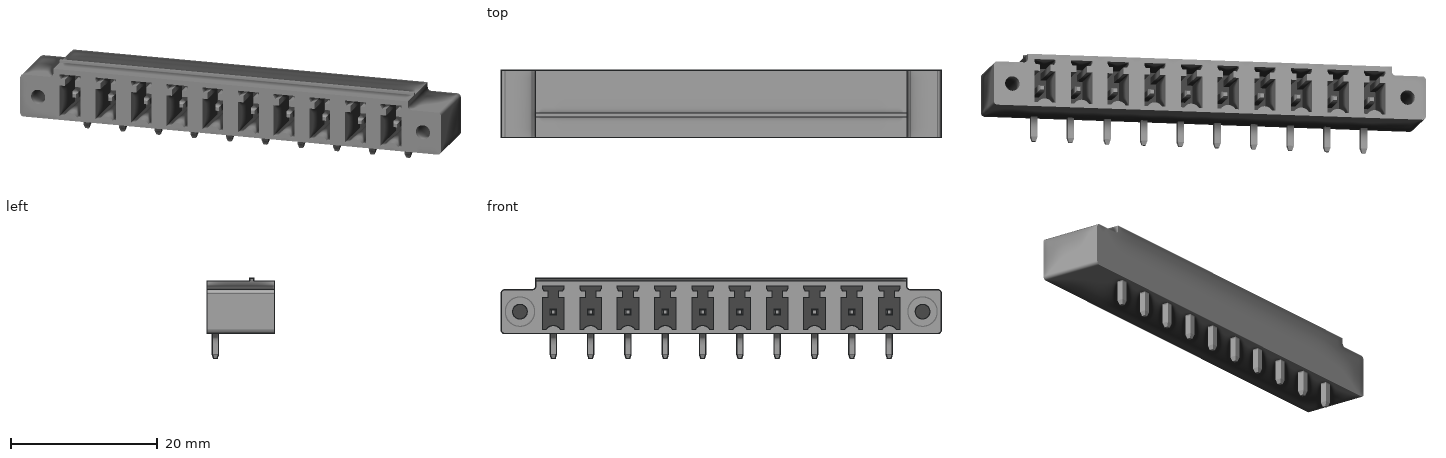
import cadquery as cq

pole_count = 10
pole_pitch = 5.08
overall_length = 59.92
depth = 9.2
overall_height = 10.95

body_height = 7.2
body_length = 50.5
flange_height = 6.0
edge_radius = 0.5

rail_front = 2.8
rail_width = 0.6
rail_height = 0.35

cavity_depth = 7.0
cavity_width = 2.95
cavity_floor = 0.55
cavity_shoulder = 4.9
neck_width = 1.45
slot_floor = 5.8
slot_floor_width = 2.55
cavity_top = 6.5
slot_side_height = 0.3
floor_rib_width = 2.0
floor_rib_height = 0.55

wire = 0.88
wire_tip = 0.5
taper_length = 0.6
contact_recess = 2.0
contact_height = 2.95
pin_setback = 1.15
pin_length = overall_height - body_height - rail_height

insert_offset = 27.4
insert_height = 3.0
insert_diameter = 4.0
insert_depth = 7.0
screw_diameter = 2.0

half_body = body_length / 2
pin_y = depth - pin_setback
pole_positions = [(i - (pole_count - 1) / 2) * pole_pitch for i in range(pole_count)]


def front_plane(x, y, z):
    """Upright sketch plane whose normal points backward, along +Y."""
    return cq.Plane(origin=(x, y, z), xDir=(1, 0, 0), normal=(0, 1, 0))


def make_housing():
    flanges = (
        cq.Workplane("XY")
        .box(overall_length, depth, flange_height, centered=(True, False, False))
        .edges("|Y")
        .fillet(edge_radius)
    )
    body = cq.Workplane("XY").box(body_length, depth, body_height, centered=(True, False, False))
    rail = (
        cq.Workplane("XY", origin=(0, rail_front, body_height))
        .box(body_length, rail_width, rail_height, centered=(True, False, False))
    )
    housing = flanges.union(body)
    for x in (-half_body, half_body):
        step_corner = cq.selectors.NearestToPointSelector((x, depth / 2, flange_height))
        housing = housing.edges(step_corner).fillet(edge_radius)
    return housing.union(rail)


def make_cavity(x):
    """Keyhole-shaped pocket with an arched rib along its floor."""
    half_cavity = cavity_width / 2
    half_neck = neck_width / 2
    half_slot_floor = slot_floor_width / 2
    half_rib = floor_rib_width / 2
    slot_side_bottom = cavity_top - slot_side_height
    return (
        cq.Workplane("XZ", origin=(x, 0, 0))
        .moveTo(-half_cavity, cavity_floor)
        .lineTo(-half_rib, cavity_floor)
        .threePointArc((0, cavity_floor + floor_rib_height), (half_rib, cavity_floor))
        .lineTo(half_cavity, cavity_floor)
        .lineTo(half_cavity, cavity_shoulder)
        .lineTo(half_neck, cavity_shoulder)
        .lineTo(half_neck, slot_floor)
        .lineTo(half_slot_floor, slot_floor)
        .lineTo(half_cavity, slot_side_bottom)
        .lineTo(half_cavity, cavity_top)
        .lineTo(-half_cavity, cavity_top)
        .lineTo(-half_cavity, slot_side_bottom)
        .lineTo(-half_slot_floor, slot_floor)
        .lineTo(-half_neck, slot_floor)
        .lineTo(-half_neck, cavity_shoulder)
        .lineTo(-half_cavity, cavity_shoulder)
        .close()
        .extrude(-cavity_depth)
    )


def make_wire(plane, length):
    """Square wire starting at the plane with a tapered tip, running along the plane normal."""
    tip = (
        cq.Workplane(plane)
        .rect(wire_tip, wire_tip)
        .workplane(offset=taper_length)
        .rect(wire, wire)
        .loft(ruled=True)
    )
    shank = cq.Workplane(plane).workplane(offset=taper_length).rect(wire, wire).extrude(length - taper_length)
    return tip.union(shank)


def make_contact(x):
    """L-shaped contact: a blade facing forward and a solder pin below the housing."""
    blade = make_wire(front_plane(x, contact_recess, contact_height), pin_y + wire / 2 - contact_recess)
    pin_plane = cq.Plane(origin=(x, pin_y, -pin_length), xDir=(1, 0, 0), normal=(0, 0, 1))
    pin = make_wire(pin_plane, pin_length + contact_height)
    return blade.union(pin)


def make_insert(x):
    """Screw sleeve, flush with the front face."""
    plane = front_plane(x, 0, insert_height)
    return cq.Workplane(plane).circle(insert_diameter / 2).circle(screw_diameter / 2).extrude(insert_depth)


def make_insert_bore(x):
    return cq.Workplane(front_plane(x, 0, insert_height)).circle(insert_diameter / 2).extrude(insert_depth)


result = make_housing()
for pole_x in pole_positions:
    result = result.cut(make_cavity(pole_x))
    result = result.union(make_contact(pole_x))
for insert_x in (-insert_offset, insert_offset):
    result = result.cut(make_insert_bore(insert_x), clean=False)
    result = result.union(make_insert(insert_x), clean=False)